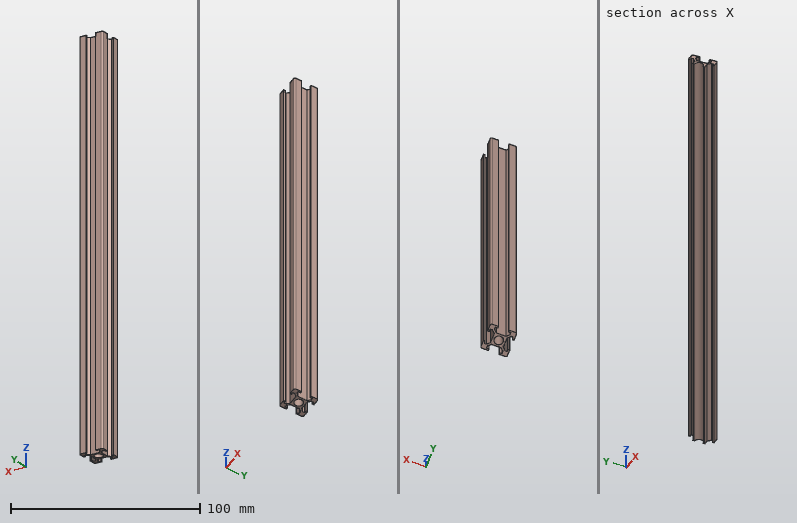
import cadquery as cq

length = 240.0
width = length / 16
slot_opening = 6.0
lip_thickness = 1.0
block_reach = 3.0
core_width = 7.2
web_thickness = 1.2
bore_diameter = 5.0
corner_radius = 1.0

half_width = width / 2
half_opening = slot_opening / 2
lip_inner = half_width - lip_thickness
block_inner = half_width - block_reach
half_core = core_width / 2
web_offset = web_thickness * 2**0.5 / 2
web_root = half_core - web_offset


def slot_cutter():
    """T-slot in the +Y face with 45-degree sides along the diagonal webs."""
    right_side = [
        (half_opening, half_width),
        (half_opening, lip_inner),
        (block_inner, lip_inner),
        (block_inner, block_inner + web_offset),
        (web_root, half_core),
    ]
    left_side = [(-x, y) for x, y in reversed(right_side)]
    return cq.Workplane("XY").polyline(right_side + left_side).close().extrude(length)


result = cq.Workplane("XY").rect(width, width).extrude(length)
result = result.edges("|Z").fillet(corner_radius)

slot = slot_cutter()
for quarter_turn in range(4):
    result = result.cut(slot.rotate((0, 0, 0), (0, 0, 1), 90 * quarter_turn))

bore = cq.Workplane("XY").circle(bore_diameter / 2).extrude(length)
result = result.cut(bore)